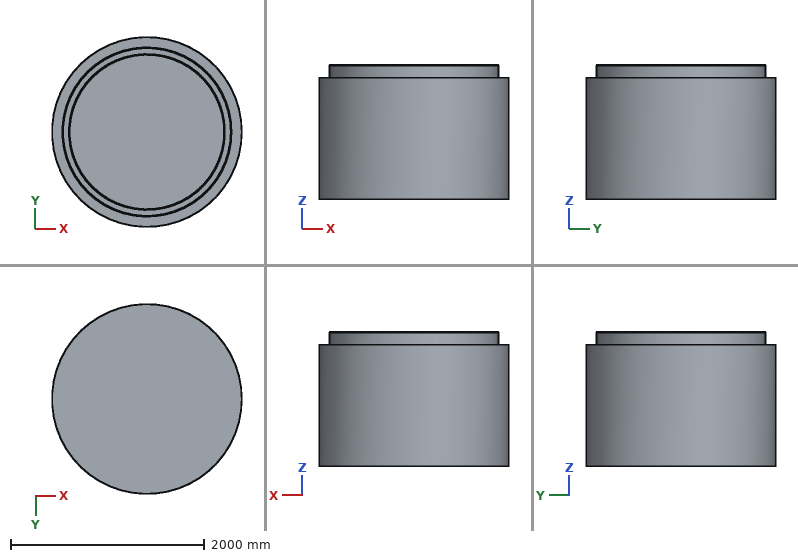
import cadquery as cq

outer_diameter = 1966.0
total_height = 1395.0
floor_thickness = 200.0

collar_diameter = 1754.0
collar_height = 135.0
rim_chamfer = 10.0

bore_diameter = 1596.0

outer_radius = outer_diameter / 2
collar_radius = collar_diameter / 2
bore_radius = bore_diameter / 2
shoulder_height = total_height - collar_height
bevel_start = total_height - rim_chamfer

half_section = (
    cq.Workplane("XZ")
    .lineTo(outer_radius, 0)
    .lineTo(outer_radius, shoulder_height)
    .lineTo(collar_radius, shoulder_height)
    .lineTo(collar_radius, bevel_start)
    .lineTo(collar_radius - rim_chamfer, total_height)
    .lineTo(bore_radius + rim_chamfer, total_height)
    .lineTo(bore_radius, bevel_start)
    .lineTo(bore_radius, floor_thickness)
    .lineTo(0, floor_thickness)
    .close()
)

result = half_section.revolve(360, (0, 0, 0), (0, 1, 0))